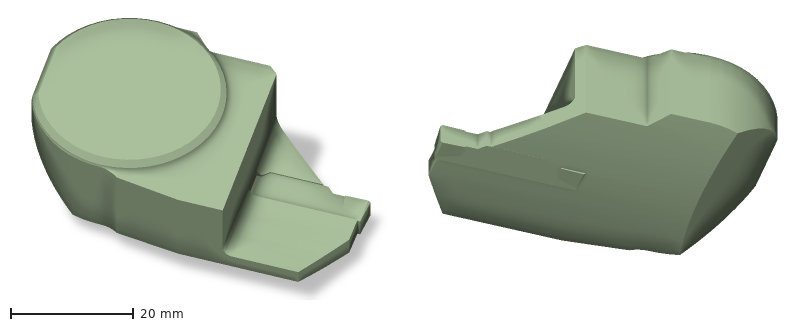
import cadquery as cq
import math


body_radius = 16.05
disc_radius = 15.9
disc_chamfer = 0.95
cove_radius = 0.7
flat_x = -15.0
block_top_z = -(disc_chamfer + cove_radius)

keel_z = -18.0
keel_radius = 70.1
heel_x = -3.35
rear_lug_x = 6.7
rear_step_x = 9.7
rear_y = 12.75
rear_corner_x = 20.2
rear_arm_end_x = 32.7
front_y = -18.8
front_neck_x = 3.05
front_neck_y = -17.15
front_corner_x = 14.0
arm_corner_x = 34.55
arm_tip_x = 40.2
arm_tip_y = -8.85
step_x = 21.65
step_fillet = 1.5
valley_z = -14.5
valley_radius = 115.0

insert_center_x = 28.6
insert_half_length = 12.5
insert_end_relief = 0.45
insert_bottom_z = -18.35
insert_back_y = -4.2
rake_y = 0.15
crown_y = 1.35
crown_half_length = 4.95
insert_center_z = -16.355
insert_half_height = insert_center_z - keel_z
head_rise = insert_center_z - insert_half_height - insert_bottom_z
head_length = 4.3
head_inner_taper = 0.3
head_corner_inset = 0.4
head_fade_outer_y = -3.7
head_fade_inner_y = -2.35

cut_margin = 5.6


def insert_outline():
    """Insert in plan: raised crown in the middle, relieved faces at both ends."""
    crown_slope = crown_y - rake_y
    back_half_length = insert_half_length - insert_end_relief
    half = [
        (back_half_length, insert_back_y),
        (insert_half_length, rake_y),
        (crown_half_length + crown_slope, rake_y),
        (crown_half_length, crown_y),
    ]
    points = half + [(-x, y) for x, y in reversed(half)]
    return [(insert_center_x + x, y) for x, y in points]


def make_head_wedge():
    """Wedge that widens the +X head upward at the rake face and fades toward the back."""
    base_z = insert_center_z + insert_half_height
    outer_x = insert_center_x + insert_half_length
    inner_x = outer_x - head_length
    relief_slope = insert_end_relief / (rake_y - insert_back_y)
    fade_outer_x = outer_x - relief_slope * (rake_y - head_fade_outer_y)

    crest_x = outer_x - head_corner_inset
    fade_inner_x = inner_x + head_inner_taper
    fade_slope = (head_fade_outer_y - head_fade_inner_y) / (fade_outer_x - fade_inner_x)
    outer_depth = rake_y - head_fade_inner_y - fade_slope * (crest_x - fade_inner_x)
    inner_depth = rake_y - head_fade_inner_y - fade_slope * (inner_x - fade_inner_x)
    inner_rise = head_rise * inner_depth / outer_depth

    outer_low = cq.Vector(outer_x, rake_y, base_z)
    inner_low = cq.Vector(inner_x, rake_y, base_z)
    outer_high = cq.Vector(crest_x, rake_y, base_z + head_rise)
    inner_high = cq.Vector(inner_x, rake_y, base_z + inner_rise)
    outer_fade = cq.Vector(fade_outer_x, head_fade_outer_y, base_z)
    inner_fade = cq.Vector(fade_inner_x, head_fade_inner_y, base_z)

    loops = [
        [outer_low, inner_low, inner_fade, outer_fade],
        [outer_low, outer_high, inner_high, inner_low],
        [outer_low, outer_fade, outer_high],
        [inner_low, inner_high, inner_fade],
        [outer_high, outer_fade, inner_fade, inner_high],
    ]
    faces = [cq.Face.makeFromWires(cq.Wire.makePolygon(loop, close=True)) for loop in loops]
    return cq.Workplane(cq.Solid.makeSolid(cq.Shell.makeShell(faces)))


def make_insert():
    insert = (
        cq.Workplane("XY", origin=(0, 0, insert_center_z - insert_half_height))
        .polyline(insert_outline()).close()
        .extrude(2 * insert_half_height)
    )
    outer_top = make_head_wedge()
    inner_top = outer_top.mirror("YZ", (insert_center_x, 0, 0))
    for wedge in (outer_top, inner_top):
        insert = insert.union(wedge)
        insert = insert.union(wedge.mirror("XY", (0, 0, insert_center_z)))
    return insert


def neck_midpoint():
    """Middle point of the concave neck arc, tangent to the round body at x = 0."""
    drop = -body_radius - front_neck_y
    radius = (front_neck_x ** 2 + drop ** 2) / (2 * drop)
    half_angle = math.asin(front_neck_x / radius) / 2
    return radius * math.sin(half_angle), -body_radius - radius * (1 - math.cos(half_angle))


def make_blank():
    """Holder in plan, extruded from the keel to the block top."""
    return (
        cq.Workplane("XY", origin=(0, 0, keel_z))
        .moveTo(0, -body_radius)
        .threePointArc(neck_midpoint(), (front_neck_x, front_neck_y))
        .lineTo(front_corner_x, front_y)
        .lineTo(arm_corner_x, front_y)
        .lineTo(arm_tip_x, arm_tip_y)
        .lineTo(arm_tip_x, insert_back_y)
        .lineTo(rear_arm_end_x, crown_y)
        .lineTo(rear_corner_x, rear_y)
        .lineTo(rear_step_x, rear_y)
        .lineTo(rear_lug_x, body_radius)
        .lineTo(0, body_radius)
        .threePointArc((-body_radius, 0), (0, -body_radius))
        .close()
        .extrude(block_top_z - keel_z)
    )


def make_disc(outline):
    """Chamfered disc with a concave cove at its foot, trimmed to the body outline."""
    cove_outer = disc_radius + cove_radius
    cove_mid = cove_radius * math.sqrt(0.5)
    disc = (
        cq.Workplane("XZ")
        .moveTo(0, block_top_z)
        .lineTo(cove_outer, block_top_z)
        .threePointArc(
            (cove_outer - cove_mid, -disc_chamfer - cove_mid), (disc_radius, -disc_chamfer)
        )
        .lineTo(disc_radius - disc_chamfer, 0)
        .lineTo(0, 0)
        .close()
        .revolve(360, (0, 0, 0), (0, 1, 0))
    )
    return disc.intersect(outline.translate((0, 0, -block_top_z)))


def make_side_trim():
    """Side profile: flat nose with a chamfered top and a 45 degree heel."""
    heel_rise = heel_x - flat_x
    right_x = arm_tip_x + cut_margin
    return (
        cq.Workplane("XZ")
        .polyline([
            (flat_x + disc_chamfer, 0),
            (flat_x, -disc_chamfer),
            (flat_x, keel_z + heel_rise),
            (heel_x, keel_z),
            (right_x, keel_z),
            (right_x, 0),
        ])
        .close()
        .extrude(-front_y + cut_margin, both=True)
    )


def make_underside_cylinder():
    return (
        cq.Workplane("YZ", origin=(flat_x - cut_margin, 0, 0))
        .center(0, keel_z + keel_radius)
        .circle(keel_radius)
        .extrude(arm_tip_x - flat_x + 2 * cut_margin)
    )


def make_arm_relief():
    """Space above the arm: bulging downward, with a rounded edge at the step wall."""
    half_width = -front_y + cut_margin
    edge_z = valley_z + valley_radius - math.sqrt(valley_radius ** 2 - half_width ** 2)
    relief = (
        cq.Workplane("YZ", origin=(step_x, 0, 0))
        .moveTo(-half_width, edge_z)
        .threePointArc((0, valley_z), (half_width, edge_z))
        .lineTo(half_width, cut_margin)
        .lineTo(-half_width, cut_margin)
        .close()
        .extrude(arm_tip_x - step_x + cut_margin)
    )
    wall_root = cq.selectors.NearestToPointSelector((step_x, 0, valley_z))
    return relief.edges(wall_root).fillet(step_fillet)


def make_open_slot():
    """Clearance over the insert where it lies outside the block."""
    slot = (
        cq.Workplane("XY", origin=(0, 0, insert_center_z))
        .polyline(insert_outline()).close()
        .extrude(-insert_center_z)
    )
    outside_block = (
        cq.Workplane("XY", origin=(step_x, 0, insert_center_z))
        .rect(2 * arm_tip_x, -4 * front_y)
        .extrude(-insert_center_z)
        .translate((arm_tip_x, 0, 0))
    )
    return slot.intersect(outside_block)


def make_holder(insert):
    blank = make_blank()
    holder = blank.union(make_disc(blank))
    holder = holder.intersect(make_side_trim())
    holder = holder.intersect(make_underside_cylinder())
    holder = holder.cut(make_arm_relief())
    holder = holder.cut(make_open_slot())
    return holder.cut(insert)


insert = make_insert()
holder = make_holder(insert)

result = cq.Compound.makeCompound([holder.solids().val(), insert.solids().val()])